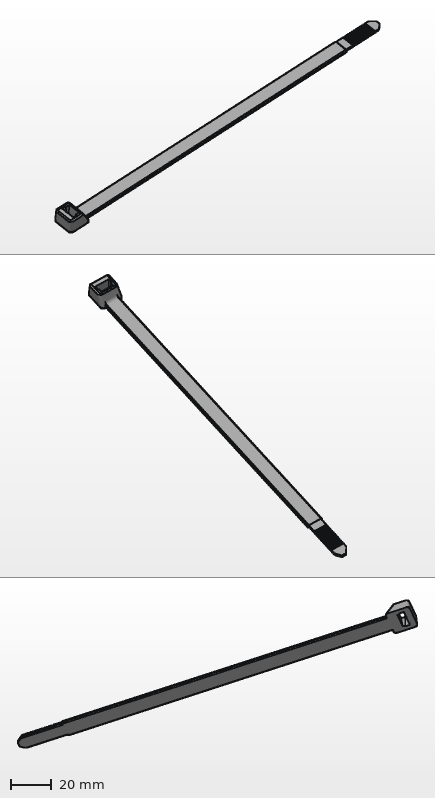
import cadquery as cq
import math

total_length = 208.2

head_width = 12.5
head_height = 7.5
head_top_length = 9.0
head_base_length = 13.0
corner_radius = 1.5
wall_lean = 0.5
base_band = 0.6
side_bevel_width = 1.5
side_bevel_height = 0.73
front_bevel_width = 1.0
front_bevel_height = 1.2
back_bevel_width = 0.5
back_bevel_height = 0.6

slot_front = 3.5
slot_step = 5.8
slot_back_top = 8.0
slot_back_bottom = 7.0
slot_width = 8.1
slot_back_width = 7.0

strap_width = 8.5
strap_thickness = 2.0
strap_chamfer = 0.6
strap_start = 9.4
root_radius = 2.0

tail_length = 24.5
tail_width = strap_width - 2 * strap_chamfer
tail_thickness = 1.9
tail_chamfer = 0.6
tip_taper_length = 3.1
tip_width = 2.5
tip_thickness = 1.5
tip_ramp_length = 5.0
groove_pitch = 1.2
groove_width = 0.8
groove_count = 12
groove_depth = 0.6

head_slope_run = head_base_length - head_top_length
tail_start = total_length - tail_length
grooves_end = total_length - tip_ramp_length


def extrude_across(points, width):
    """Prism of a (Y, Z) outline, centred on X = 0."""
    return cq.Workplane("YZ").polyline(points).close().extrude(width / 2, both=True)


def make_head():
    """Block with leaning walls and a sloping back, standing on a thin upright band."""
    half_width = head_width / 2
    band_length = head_base_length - head_slope_run * base_band / head_height
    band = cq.Workplane("XY").box(head_width, band_length, base_band, centered=(True, False, False))
    length_outline = [
        (0, base_band), (band_length, base_band), (head_top_length, head_height), (wall_lean, head_height),
    ]
    width_outline = [
        (-half_width, base_band), (half_width, base_band),
        (half_width - wall_lean, head_height), (wall_lean - half_width, head_height),
    ]
    across = cq.Workplane("XZ").polyline(width_outline).close().extrude(-head_base_length)
    block = extrude_across(length_outline, head_width).intersect(across)
    upright_edges = "not(|X or |Y)"
    block = block.edges(upright_edges).fillet(corner_radius)
    band = band.edges(upright_edges).fillet(corner_radius)
    return block.union(band)


def make_bevel_cutters():
    """Everything outside the sloping bevels around the head top."""
    half_width = head_width / 2
    side_outline = [
        (half_width - side_bevel_width, head_height),
        (half_width, head_height - side_bevel_height),
        (half_width, head_height),
    ]
    side = cq.Workplane("XZ").polyline(side_outline).close().extrude(-head_base_length)
    front_outline = [
        (0, head_height - front_bevel_height),
        (front_bevel_width, head_height),
        (0, head_height),
    ]
    front = extrude_across(front_outline, head_width)
    back_outline = [
        (head_top_length - back_bevel_width, head_height),
        (head_top_length + head_slope_run * back_bevel_height / head_height, head_height - back_bevel_height),
        (head_base_length, head_height),
    ]
    back = extrude_across(back_outline, head_width)
    return [side, side.mirror("YZ"), front, back]


def make_slot():
    """Opening through the head: wide in front, narrower and with a leaning wall at the back."""
    front_part = extrude_across(
        [(slot_front, 0), (slot_step, 0), (slot_step, head_height), (slot_front, head_height)],
        slot_width,
    )
    back_part = extrude_across(
        [(slot_front, 0), (slot_back_bottom, 0), (slot_back_top, head_height), (slot_front, head_height)],
        slot_back_width,
    )
    return front_part.union(back_part)


def make_strap():
    """Flat strap with four chamfered long edges."""
    length = tail_start - strap_start
    strap = cq.Workplane("XY").box(strap_width, length, strap_thickness, centered=(True, False, False))
    return strap.edges("|Y").chamfer(strap_chamfer).translate((0, strap_start, 0))


def make_root():
    """Hollow fillet between the strap top and the sloping back of the head."""
    slope_angle = math.atan2(head_height, head_slope_run)
    corner_y = head_base_length - head_slope_run * strap_thickness / head_height
    reach = root_radius * math.tan(slope_angle / 2)
    strap_end = (corner_y + reach, strap_thickness)
    root_bottom = strap_thickness / 2
    head_end = (
        corner_y - reach * math.cos(slope_angle),
        strap_thickness + reach * math.sin(slope_angle),
    )
    center_distance = math.hypot(root_radius, reach)
    arc_middle = (
        strap_end[0] - root_radius * reach / center_distance,
        strap_thickness + root_radius - root_radius**2 / center_distance,
    )
    return (
        cq.Workplane("YZ")
        .moveTo(*strap_end)
        .threePointArc(arc_middle, head_end)
        .lineTo(strap_start, head_end[1])
        .lineTo(strap_start, root_bottom)
        .lineTo(strap_end[0], root_bottom)
        .close()
        .extrude(tail_width / 2, both=True)
    )


def make_tail():
    """Narrow end of the strap, tapering to a thin tip; it starts inside the strap."""
    half = tail_width / 2
    shoulder = total_length - tip_taper_length
    plan = [
        (-half, strap_start), (half, strap_start), (half, shoulder), (tip_width / 2, total_length),
        (-tip_width / 2, total_length), (-half, shoulder),
    ]
    profile = [
        (strap_start, 0), (total_length, 0), (total_length, tip_thickness),
        (grooves_end, tail_thickness), (strap_start, tail_thickness),
    ]
    tail = cq.Workplane("XY").polyline(plan).close().extrude(strap_thickness)
    tail = tail.faces("<Z").edges("|Y").chamfer(tail_chamfer)
    return tail.intersect(extrude_across(profile, tail_width))


def make_groove(start):
    """V groove across the top of the tail, from Y = start."""
    outline = [
        (start, tail_thickness),
        (start + groove_width / 2, tail_thickness - groove_depth),
        (start + groove_width, tail_thickness),
    ]
    return extrude_across(outline, tail_width)


head = make_head()
for cutter in make_bevel_cutters():
    head = head.cut(cutter)

result = head.union(make_strap()).union(make_root()).union(make_tail())
result = result.cut(make_slot())
for index in range(groove_count):
    result = result.cut(make_groove(grooves_end - (index + 1) * groove_pitch))